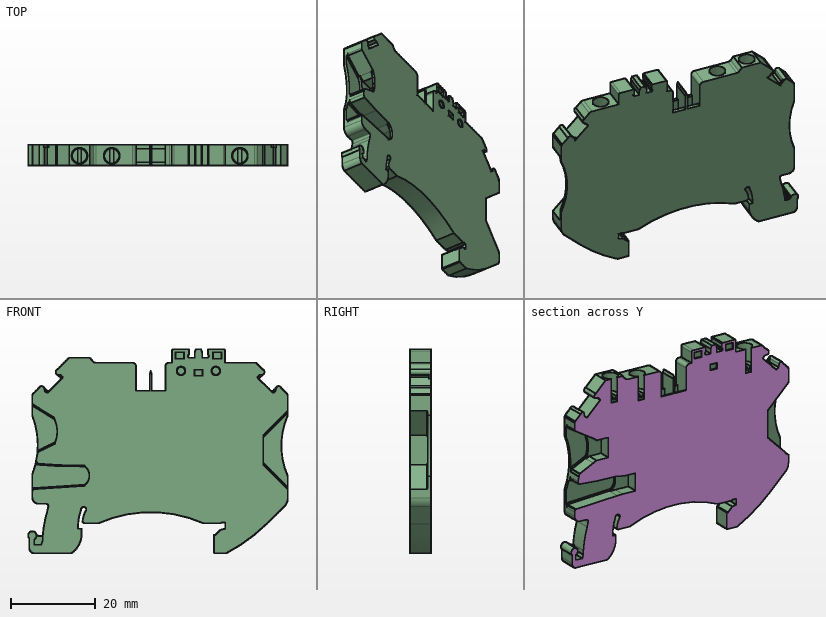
import cadquery as cq

THICKNESS = 5.0
LENGTH = 61.5

LEFT_EDGE = 1.0
HOUSING_MIDDLE = (LEFT_EDGE + LENGTH) / 2
SHOULDER_TOP = 45.15
LEFT_BLOCK_TOP = 46.3
RAIL_SEAT = 7.1
ARCH_TOP = 9.7

SLOT_LEFT = 25.6
SLOT_RIGHT = 32.45
SLOT_FLOOR = 38.5
SLOT_CORNER = 0.9
SLOT_MIDDLE = (SLOT_LEFT + SLOT_RIGHT) / 2
PLATE_WIDTH = 0.55
PLATE_SHOULDER = 42.35
PLATE_TOP = 43.15
SHAFT_FRONT_WALL = 0.8
SHAFT_BACK_WALL = 0.9
SHAFT_DEPTH = 3.1

WEB_THICKNESS = 0.55

POCKET_DEPTH = 4.25
POCKET_FLOOR_CHAMFER = 0.3
LIP_THICKNESS = 0.55
WIRE_HOLE_BACK = 3.6

SCREW_HOLE_DIAMETER = 3.8
SCREW_HEAD_DIAMETER = 3.5
SCREW_HOLE_DEPTH = 6.15
SCREW_HEAD_HEIGHT = 1.55
DRIVER_SLOT_WIDTH = 0.9
DRIVER_SLOT_DEPTH = 0.9
SCREW_Y = 2.35
SCREWS = [(12.2, LEFT_BLOCK_TOP), (19.8, SHOULDER_TOP), (50.1, SHOULDER_TOP)]

CARRIER_LEFT = 34.0
CARRIER_RIGHT = 46.6
CARRIER_TOP = 48.35
CARRIER_MIDDLE = (CARRIER_LEFT + CARRIER_RIGHT) / 2
CARRIER_CORNER = 0.4
CARRIER_GAP_FLOOR = 46.3
CARRIER_GAP_HALF = 2.2
GAP_CHAMFER = 0.2
TONGUE_HALF = 0.9
TONGUE_TAPER = 0.3
TONGUE_TAPER_HEIGHT = 0.8
LATCH_HEIGHT = 0.8
LATCH_DEPTH = 0.3
WINDOW_SIZE = (2.1, 1.6)
WINDOW_OFFSET = 4.4
WINDOW_Z = 46.8
WINDOW_DEPTH = 0.8
WINDOW_TAPER = 5.0

DIMPLE_DIAMETER = 2.1
DIMPLE_OFFSET = 4.1
DIMPLE_Z = 43.15
DIMPLE_DEPTH = 0.2
DIMPLE_TAPER = 30.0
LATCH_WINDOW_SIZE = (1.95, 1.5)
LATCH_WINDOW_Z = 42.75
LATCH_WINDOW_DEPTH = 0.8

LEFT_BEAK = [(2.65, 39.2), (3.2, 39.6), (3.75, 39.2)]
LEFT_NOTCH = [(3.95, 38.4), (4.5, 37.95), (8.25, 41.6), (7.75, 42.2), (6.8, 42.3)]
LEFT_TIP = [(6.5, 42.85), (6.95, 43.55)]
LEFT_NOTCH_WEBS = [
    [(3.75, 39.2), (4.5, 38.5), (4.9, 38.4), (4.5, 37.95), (3.95, 38.4)],
    [(6.8, 42.3), (7.95, 41.3), (8.25, 41.6), (7.75, 42.2)],
]


def mirrored(points):
    """Mirror points about the housing middle, keeping a continuous walking direction."""
    return [(2 * HOUSING_MIDDLE - x, z) for x, z in reversed(points)]


def along_y(sketch, y_start, y_end):
    """Extrude a closed XZ sketch between two Y positions."""
    return sketch.extrude(y_start - y_end).translate((0, y_start, 0))


def prism(points, y_start, y_end):
    return along_y(cq.Workplane("XZ").polyline(points).close(), y_start, y_end)


def make_housing():
    right_tip = mirrored([LEFT_NOTCH[-1]] + LEFT_TIP)
    right_notch = mirrored([LEFT_BEAK[-1]] + LEFT_NOTCH[:-1])
    right_beak = mirrored(LEFT_BEAK)
    outline = (
        cq.Workplane("XZ")
        .moveTo(1.15, 0)
        .threePointArc((0.5, 0.55), (0.25, 1.55))
        .lineTo(0.25, 3.55)
        .threePointArc((0, 4.25), (1.85, 4.8))
        .threePointArc((2.15, 4.3), (2.6, 4.1))
        .lineTo(3.45, 4.1)
        .threePointArc((3.8, 7.0), (4.5, 9.85))
        .lineTo(4.75, 10.95)
        .threePointArc((4.7, 11.5), (4.35, 11.7))
        .lineTo(2.6, 11.7)
        .threePointArc((1.4, 12.2), (LEFT_EDGE, 13.35))
        .lineTo(LEFT_EDGE, 18.7)
        .threePointArc((2.3, 25.65), (LEFT_EDGE, 32.6))
        .lineTo(LEFT_EDGE, 37.4)
        .lineTo(1.15, 37.75)
        .lineTo(*LEFT_BEAK[0])
        .threePointArc(*LEFT_BEAK[1:])
    )
    for point in LEFT_NOTCH:
        outline = outline.lineTo(*point)
    outline = (
        outline
        .threePointArc(*LEFT_TIP)
        .lineTo(9.7, LEFT_BLOCK_TOP)
        .lineTo(14.65, LEFT_BLOCK_TOP)
        .lineTo(15.4, 45.4)
        .threePointArc((15.7, 45.2), (16.0, SHOULDER_TOP))
        .lineTo(SLOT_LEFT - SLOT_CORNER, SHOULDER_TOP)
        .radiusArc((SLOT_LEFT, SHOULDER_TOP - SLOT_CORNER), SLOT_CORNER)
        .lineTo(SLOT_LEFT, SLOT_FLOOR)
        .lineTo(SLOT_RIGHT, SLOT_FLOOR)
        .lineTo(SLOT_RIGHT, SHOULDER_TOP - SLOT_CORNER)
        .radiusArc((SLOT_RIGHT + SLOT_CORNER, SHOULDER_TOP), SLOT_CORNER)
        .lineTo(53.55, SHOULDER_TOP)
        .threePointArc((53.9, 45.1), (54.25, 44.8))
        .lineTo(*right_tip[0])
        .threePointArc(*right_tip[1:])
    )
    for point in right_notch:
        outline = outline.lineTo(*point)
    outline = (
        outline
        .threePointArc(*right_beak[1:])
        .lineTo(61.3, 37.75)
        .lineTo(LENGTH, 37.4)
        .lineTo(LENGTH, 32.7)
        .threePointArc((59.95, 25.45), (LENGTH, 18.2))
        .lineTo(LENGTH, 13.1)
        .threePointArc((61.3, 12.1), (60.7, 11.1))
        .lineTo(56.45, 6.95)
        .threePointArc((52.0, 3.2), (46.9, 0))
        .lineTo(44.15, 0)
        .lineTo(43.95, 0.2)
        .lineTo(43.95, 4.35)
        .lineTo(44.3, 4.35)
        .lineTo(45.5, 5.6)
        .lineTo(46.6, 5.85)
        .lineTo(46.6, 7.25)
        .lineTo(45.8, 7.25)
        .lineTo(45.55, RAIL_SEAT)
        .lineTo(41.5, RAIL_SEAT)
        .threePointArc((SLOT_MIDDLE, ARCH_TOP), (16.6, RAIL_SEAT))
        .lineTo(13.3, RAIL_SEAT)
        .lineTo(12.85, 7.45)
        .threePointArc((13.15, 9.0), (13.8, 10.3))
        .threePointArc((13.3, 10.95), (12.55, 10.2))
        .threePointArc((12.0, 8.05), (11.85, 5.85))
        .lineTo(12.65, 5.85)
        .lineTo(12.65, 3.9)
        .threePointArc((11.9, 1.8), (10.25, 0))
        .close()
    )
    return along_y(outline, 0, THICKNESS)


def make_notch_webs():
    webs = None
    for points in LEFT_NOTCH_WEBS:
        for web_points in (points, mirrored(points)):
            web = prism(web_points, THICKNESS - WEB_THICKNESS, THICKNESS)
            webs = web if webs is None else webs.union(web)
    return webs


def make_hook_undercut():
    points = [(1.9, 4.8), (1.9, 3.7), (1.5, 3.25), (1.5, 2.1),
              (3.15, 2.1), (3.45, 2.95), (3.45, 4.1), (3.1, 4.8)]
    return prism(points, 0, THICKNESS - WEB_THICKNESS)


def chamfer_floor(pocket):
    """Chamfer the floor along the sloping side walls; the inner end stays sharp."""
    return pocket.faces(">Y").edges("%LINE and (not |Z)").chamfer(POCKET_FLOOR_CHAMFER)


def make_rim(flank_point, middle, wall_point):
    """Rounded mouth edge between the outer flank and a pocket wall."""
    sketch = (
        cq.Workplane("XZ")
        .moveTo(*flank_point)
        .threePointArc(middle, wall_point)
        .lineTo(0, wall_point[1])
        .lineTo(0, flank_point[1])
        .close()
    )
    return along_y(sketch, 0, POCKET_DEPTH - POCKET_FLOOR_CHAMFER)


def make_wire_hole(points):
    """Wire entry running inwards from the end of a left pocket, behind the front skin."""
    return prism(points, LIP_THICKNESS, WIRE_HOLE_BACK)


def make_upper_left_pocket():
    pocket = (
        cq.Workplane("XZ")
        .moveTo(0, 35.9)
        .lineTo(6.0, 32.2)
        .threePointArc((6.9, 29.0), (6.3, 25.9))
        .lineTo(0, 22.8)
        .close()
    )
    top_rim = make_rim((LEFT_EDGE, 35.7), (1.05, 35.4), (1.2, 35.2))
    bottom_rim = make_rim((2.2, 23.3), (2.3, 23.7), (2.45, 24.0))
    hole = make_wire_hole([(6.0, 32.2), (7.4, 31.35), (10.45, 31.35),
                           (10.45, 26.3), (7.15, 26.3), (6.3, 25.9)])
    return chamfer_floor(along_y(pocket, 0, POCKET_DEPTH)).union(top_rim).union(bottom_rim).union(hole)


def make_lower_left_pocket():
    pocket = (
        cq.Workplane("XZ")
        .moveTo(0, 21.4)
        .lineTo(7.4, 20.9)
        .lineTo(13.05, 20.85)
        .threePointArc((14.5, 18.4), (13.05, 15.9))
        .lineTo(0, 15.05)
        .close()
    )
    top_rim = make_rim((1.95, 22.25), (2.0, 21.65), (2.35, 21.2))
    bottom_rim = make_rim((LEFT_EDGE, 14.25), (1.05, 14.75), (1.3, 15.1))
    hole = make_wire_hole([(13.05, 20.85), (15.05, 20.4), (18.15, 20.4),
                           (18.15, 16.0), (14.5, 16.0), (13.05, 15.9)])
    return chamfer_floor(along_y(pocket, 0, POCKET_DEPTH)).union(top_rim).union(bottom_rim).union(hole)


def make_right_pocket():
    wall_left = 55.65
    wall_top = 27.9
    wall_bottom = 20.95
    overrun = 0.6
    run = LENGTH + overrun - wall_left
    points = [(wall_left, wall_bottom), (wall_left, wall_top),
              (wall_left + run, wall_top + run), (wall_left + run, wall_bottom - run)]
    return chamfer_floor(prism(points, 0, POCKET_DEPTH))


def make_bridge_shaft():
    """Deeper shaft in the slot floor, between the front and back walls."""
    depth = THICKNESS - SHAFT_FRONT_WALL - SHAFT_BACK_WALL
    return (
        cq.Workplane("XY")
        .box(SLOT_RIGHT - SLOT_LEFT, depth, SHAFT_DEPTH, centered=False)
        .translate((SLOT_LEFT, SHAFT_FRONT_WALL, SLOT_FLOOR - SHAFT_DEPTH))
    )


def make_bridge_plate():
    half = PLATE_WIDTH / 2
    bottom = SLOT_FLOOR - SHAFT_DEPTH
    points = [(SLOT_MIDDLE - half, bottom), (SLOT_MIDDLE - half, PLATE_SHOULDER),
              (SLOT_MIDDLE, PLATE_TOP), (SLOT_MIDDLE + half, PLATE_SHOULDER),
              (SLOT_MIDDLE + half, bottom)]
    return prism(points, 0, THICKNESS)


def upright_cylinder(x, z_bottom, diameter, height):
    return cq.Workplane("XY", origin=(x, SCREW_Y, z_bottom)).circle(diameter / 2).extrude(height)


def make_screw_void(x, top):
    """Screw hole with the slotted screw head left standing on its bottom."""
    bottom = top - SCREW_HOLE_DEPTH
    hole = upright_cylinder(x, bottom, SCREW_HOLE_DIAMETER, SCREW_HOLE_DEPTH)
    head = upright_cylinder(x, bottom, SCREW_HEAD_DIAMETER, SCREW_HEAD_HEIGHT)
    slot_bottom = bottom + SCREW_HEAD_HEIGHT - DRIVER_SLOT_DEPTH
    slot = (
        cq.Workplane("XY")
        .box(DRIVER_SLOT_WIDTH, SCREW_HEAD_DIAMETER, DRIVER_SLOT_DEPTH, centered=(True, True, False))
        .translate((x, SCREW_Y, slot_bottom))
    )
    return hole.cut(head.cut(slot))


def make_carrier():
    """Two blocks with rounded corners and a latch tongue between them."""
    block = (
        cq.Workplane("XY")
        .box(CARRIER_RIGHT - CARRIER_LEFT, THICKNESS, CARRIER_TOP - SHOULDER_TOP, centered=False)
        .translate((CARRIER_LEFT, 0, SHOULDER_TOP))
        .edges("|Y and >Z").fillet(CARRIER_CORNER)
    )
    gap = [
        (TONGUE_HALF - TONGUE_TAPER, CARRIER_TOP),
        (TONGUE_HALF, CARRIER_TOP - TONGUE_TAPER_HEIGHT),
        (TONGUE_HALF, CARRIER_GAP_FLOOR),
        (CARRIER_GAP_HALF, CARRIER_GAP_FLOOR),
        (CARRIER_GAP_HALF + LATCH_DEPTH, CARRIER_GAP_FLOOR + LATCH_DEPTH),
        (CARRIER_GAP_HALF, CARRIER_GAP_FLOOR + LATCH_HEIGHT),
        (CARRIER_GAP_HALF, CARRIER_TOP - GAP_CHAMFER),
        (CARRIER_GAP_HALF + GAP_CHAMFER, CARRIER_TOP),
    ]
    for side in (-1, 1):
        block = block.cut(prism([(CARRIER_MIDDLE + side * x, z) for x, z in gap], 0, THICKNESS))
    return block


def make_front_recesses():
    """Carrier windows, round dimples and the latch window, all sunk from the front face."""
    recesses = (
        cq.Workplane("XZ").center(CARRIER_MIDDLE, LATCH_WINDOW_Z)
        .rect(*LATCH_WINDOW_SIZE).extrude(-LATCH_WINDOW_DEPTH, taper=WINDOW_TAPER)
    )
    for side in (-1, 1):
        window = (
            cq.Workplane("XZ").center(CARRIER_MIDDLE + side * WINDOW_OFFSET, WINDOW_Z)
            .rect(*WINDOW_SIZE).extrude(-WINDOW_DEPTH, taper=WINDOW_TAPER)
        )
        dimple = (
            cq.Workplane("XZ").center(CARRIER_MIDDLE + side * DIMPLE_OFFSET, DIMPLE_Z)
            .circle(DIMPLE_DIAMETER / 2).extrude(-DIMPLE_DEPTH, taper=DIMPLE_TAPER)
        )
        recesses = recesses.union(window).union(dimple)
    return recesses


body = make_housing().union(make_notch_webs()).union(make_carrier())
body = body.cut(make_hook_undercut())
for pocket in (make_upper_left_pocket(), make_lower_left_pocket(), make_right_pocket()):
    body = body.cut(pocket)
body = body.cut(make_bridge_shaft()).union(make_bridge_plate())
for screw_x, screw_top in SCREWS:
    body = body.cut(make_screw_void(screw_x, screw_top))
result = body.cut(make_front_recesses())